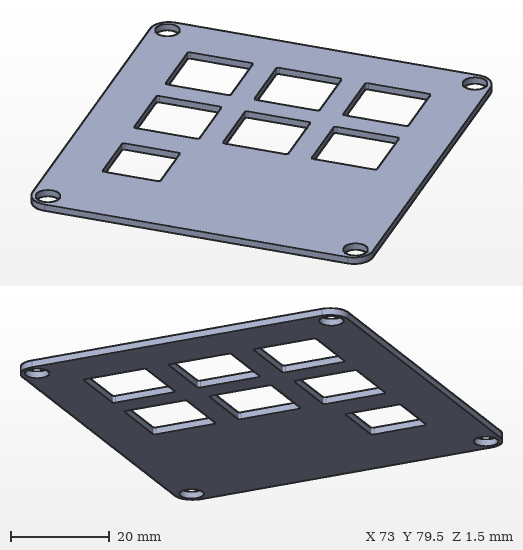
import cadquery as cq

plate_width = 73.01
plate_length = 79.49
plate_thickness = 1.5
plate_corner_radius = 4.0

mount_hole_diameter = 5.0
mount_hole_inset = 3.5

key_size = 14.0
key_pitch = 19.05
key_columns = 3
key_rows = 2
key_top_margin = 10.6

small_size = 12.4
small_top_margin = 50.35

opening_corner_radius = 0.5

plate_top = plate_length / 2
key_left_edge = -((key_columns - 1) * key_pitch + key_size) / 2


def make_plate():
    """Flat plate with rounded corners, standing on Z = 0."""
    plate = cq.Workplane("XY").box(plate_width, plate_length, plate_thickness, centered=(True, True, False))
    return plate.edges("|Z").fillet(plate_corner_radius)


def cut_mount_holes(body):
    """Through holes at the four corners."""
    spacing_x = plate_width - 2 * mount_hole_inset
    spacing_y = plate_length - 2 * mount_hole_inset
    corners = cq.Workplane("XY").rect(spacing_x, spacing_y, forConstruction=True).vertices()
    return body.cut(corners.circle(mount_hole_diameter / 2).extrude(plate_thickness))


def cut_square_opening(body, left, top, size):
    """Square through opening with rounded corners, placed by its left and top edges."""
    opening = (
        cq.Workplane("XY")
        .center(left + size / 2, top - size / 2)
        .rect(size, size)
        .extrude(plate_thickness)
        .edges("|Z")
        .fillet(opening_corner_radius)
    )
    return body.cut(opening)


def cut_key_openings(body):
    """Regular grid of key openings."""
    for row in range(key_rows):
        top = plate_top - key_top_margin - row * key_pitch
        for column in range(key_columns):
            left = key_left_edge + column * key_pitch
            body = cut_square_opening(body, left, top, key_size)
    return body


result = make_plate()
result = cut_mount_holes(result)
result = cut_key_openings(result)
result = cut_square_opening(result, key_left_edge, plate_top - small_top_margin, small_size)